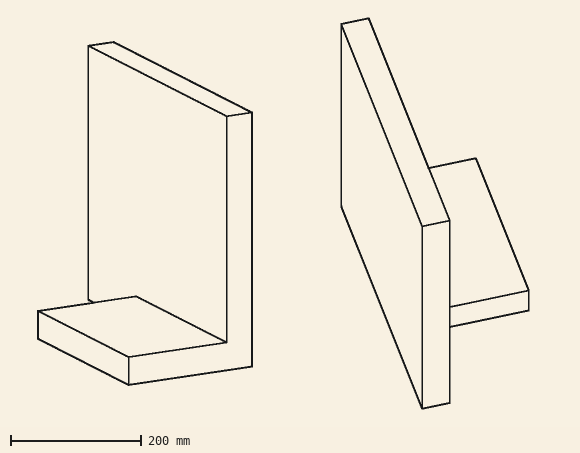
import cadquery as cq

plate_width = 447.5
plate_height = 406.5
plate_thickness = 44.5

total_depth = 216.0
shelf_width = 293.0
shelf_height = 44.8
shelf_depth = total_depth - plate_thickness


def corner_box(width, depth, height):
    """Box with its +X, -Y, -Z corner at the origin."""
    return cq.Workplane("XY").box(width, depth, height, centered=False).translate((-width, 0, 0))


shelf = corner_box(shelf_width, shelf_depth, shelf_height)
plate = corner_box(plate_width, plate_thickness, plate_height).translate((0, shelf_depth, 0))

result = plate.union(shelf)